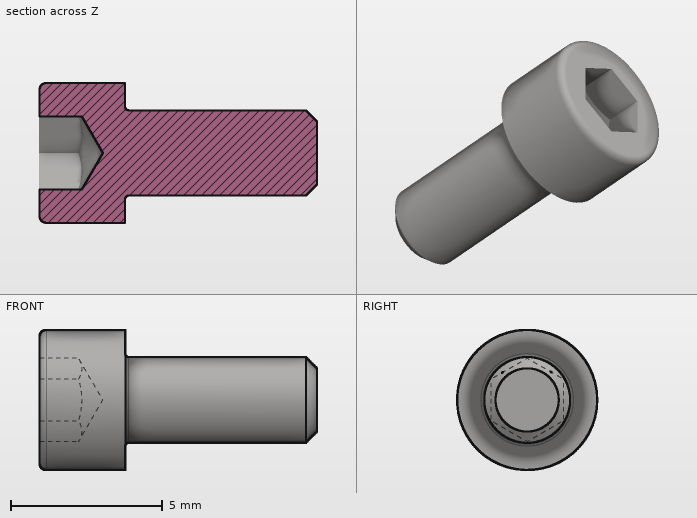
import cadquery as cq
import math

INCH = 25.4
shank_diameter = 0.112 * INCH
shank_length = 0.25 * INCH
head_diameter = 0.183 * INCH
head_height = shank_diameter
head_edge_radius = 0.23
neck_fillet_radius = 0.11
tip_chamfer = 0.375

SOCKET_SIDES = 6
socket_width = 2.39
socket_depth = 1.3
socket_cone_angle = 120

shank_radius = shank_diameter / 2
head_radius = head_diameter / 2
socket_corner_diameter = socket_width / math.cos(math.pi / SOCKET_SIDES)


def make_head():
    head = cq.Workplane("YZ").circle(head_radius).extrude(-head_height)
    return head.faces("<X").edges().fillet(head_edge_radius)


def make_shank():
    shank = cq.Workplane("YZ").circle(shank_radius).extrude(shank_length)
    return shank.faces(">X").edges().chamfer(tip_chamfer)


def make_neck_fillet():
    """Concave ring that blends the shank into the underside of the head."""
    flare_radius = shank_radius + neck_fillet_radius
    arc_offset = neck_fillet_radius * (1 - math.sqrt(0.5))
    profile = (
        cq.Workplane("XY")
        .moveTo(0, 0)
        .lineTo(0, flare_radius)
        .threePointArc((arc_offset, shank_radius + arc_offset), (neck_fillet_radius, shank_radius))
        .lineTo(neck_fillet_radius, 0)
        .close()
    )
    return profile.revolve(360, (0, 0, 0), (1, 0, 0))


def make_socket():
    """Hexagonal prism whose far end is trimmed by a cone pointing into the head."""
    corner_radius = socket_corner_diameter / 2
    cone_height = corner_radius / math.tan(math.radians(socket_cone_angle / 2))
    apex_depth = socket_depth + cone_height
    hexagon = (
        cq.Workplane("YZ", origin=(-head_height, 0, 0))
        .transformed(rotate=(0, 0, 90))
        .polygon(SOCKET_SIDES, socket_corner_diameter)
    )
    pointed_bore = (
        cq.Workplane("XY", origin=(-head_height, 0, 0))
        .polyline([(0, 0), (0, corner_radius), (socket_depth, corner_radius), (apex_depth, 0)])
        .close()
        .revolve(360, (0, 0, 0), (1, 0, 0))
    )
    return hexagon.extrude(apex_depth).intersect(pointed_bore)


result = make_head().union(make_shank()).union(make_neck_fillet()).cut(make_socket())